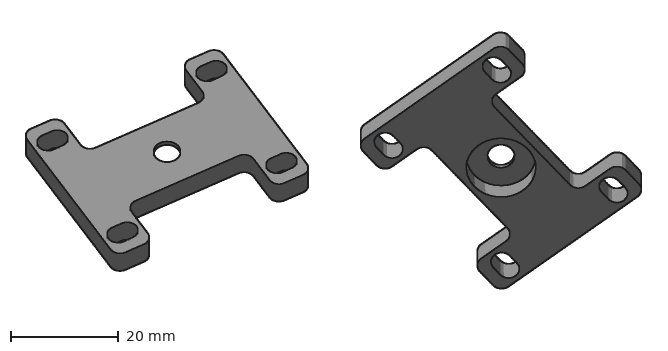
import cadquery as cq

length = 42.0
width = 35.0
thickness = 5.0

arm_depth = 8.0
waist_width = 15.0
corner_radius = 2.0

slot_width = 4.0
slot_length = 6.0
slot_spacing_x = 26.0
slot_spacing_y = 34.0

center_hole_diameter = 5.0
center_lip_thickness = 1.0
recess_diameter = 12.85


def make_plate():
    """H-shaped plate with every outer and inner corner rounded."""
    notch_depth = (width - waist_width) / 2
    notch_length = length - 2 * arm_depth
    notch_center_x = (waist_width + notch_depth) / 2
    plate = cq.Workplane("XY").box(width, length, thickness)
    notches = (
        cq.Workplane("XY")
        .pushPoints([(-notch_center_x, 0), (notch_center_x, 0)])
        .box(notch_depth, notch_length, thickness)
    )
    return plate.cut(notches).edges("|Z").fillet(corner_radius)


def cut_slots(plate):
    """Cut one through slot at each end of both arms."""
    return (
        plate.faces(">Z")
        .workplane(origin=(0, 0, 0))
        .rarray(slot_spacing_x, slot_spacing_y, 2, 2)
        .slot2D(slot_length, slot_width, angle=90)
        .cutThruAll()
    )


def cut_center_hole(plate):
    """Counterbore the waist from below, leaving a thin lip at the top face."""
    recess_depth = thickness - center_lip_thickness
    return (
        plate.faces("<Z")
        .workplane(origin=(0, 0, 0))
        .cboreHole(center_hole_diameter, recess_diameter, recess_depth)
    )


result = cut_center_hole(cut_slots(make_plate()))